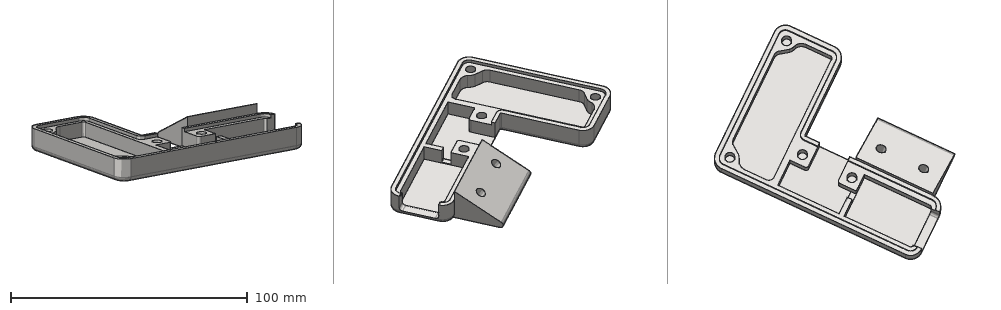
import cadquery as cq
import math

width = 68.0
length = 96.3
tray_height = 10.0
arm_left = 40.1
foot_depth = 30.7
corner_radius = 5.1
inner_corner_radius = 0.5
bottom_radius = 2.0

rim = 2.0
arm_left_rim = 1.7
recess_depth = 1.4
recess_inner_radius = 2.5
wall = 4.0
pocket_right = width - wall

floor = 2.0
upper_floor = 1.7
foot_pocket_top = 26.7
foot_pocket_left_radius = 1.0
foot_pocket_right_radius = 2.5
middle_bottom = 29.6
middle_top = 58.1
gap_floor = 2.2
divider_bottom = 58.3
upper_left = 44.1
upper_bottom = 60.6
upper_top = length - wall
upper_corner_radius = 1.0
post_edge = 52.0
post_corner_radius = 1.2
window_bottom = 37.75
window_top = 51.8
gap_right = 56.0

notch_left = 45.3
notch_right = 62.8
notch_floor = 2.2
notch_radius = 1.4

screw_diameter = 4.2
screw_inset = 6.2
arm_screw_x = 47.6
arm_screw_ys = (33.3, 56.4)

wedge_left = 18.3
wedge_top = 14.35
wedge_nose = 2.6
wedge_bottom_y = 54.7
wedge_top_y = 90.7
wedge_nose_radius = 1.6
wedge_bottom_radius = 1.5
wedge_hole_x = 31.2
wedge_hole_ys = (62.3, 82.2)


def box(x0, x1, y0, y1, z0, z1):
    """Box given by its limits along each axis."""
    return cq.Workplane("XY").box(x1 - x0, y1 - y0, z1 - z0, centered=False).translate((x0, y0, z0))


def l_prism(edge, arm_edge, z0, height, outer_radius, inner_radius):
    """L-shaped prism set in from the tray outline, with rounded upright edges."""
    right = width - edge
    top = length - edge
    inner_x = arm_left + arm_edge
    inner_y = foot_depth - edge
    outline = [(edge, edge), (right, edge), (right, top), (inner_x, top), (inner_x, inner_y), (edge, inner_y)]
    prism = cq.Workplane("XY").workplane(offset=z0).polyline(outline).close().extrude(height)
    inner_edge = cq.selectors.NearestToPointSelector((inner_x, inner_y, z0 + height / 2))
    prism = prism.edges(inner_edge).fillet(inner_radius)
    margin = 0.1
    for x, y in outline[:4] + outline[5:]:
        corner = cq.selectors.BoxSelector((x - margin, y - margin, z0), (x + margin, y + margin, z0 + height))
        prism = prism.edges(corner).fillet(outer_radius)
    return prism


def foot_pocket():
    """Wide pocket whose lower corners curve around the screw posts."""
    side_start = 14.2
    bend_start = (6.3, 10.4)
    bend_middle = (7.8, 9.7)
    bend_end = (9.0, 8.8)
    foot_arc_start = (11.3, 5.6)
    bottom_start = 14.2
    side_arc_middle = (4.6, 12.0)
    foot_arc_middle = (12.4, 4.4)

    def mirrored(point):
        return (width - point[0], point[1])

    pocket = (
        cq.Workplane("XY").workplane(offset=floor)
        .moveTo(wall, foot_pocket_top)
        .lineTo(wall, side_start)
        .threePointArc(side_arc_middle, bend_start)
        .threePointArc(bend_middle, bend_end)
        .lineTo(*foot_arc_start)
        .threePointArc(foot_arc_middle, (bottom_start, wall))
        .lineTo(width - bottom_start, wall)
        .threePointArc(mirrored(foot_arc_middle), mirrored(foot_arc_start))
        .lineTo(*mirrored(bend_end))
        .threePointArc(mirrored(bend_middle), mirrored(bend_start))
        .threePointArc(mirrored(side_arc_middle), (pocket_right, side_start))
        .lineTo(pocket_right, foot_pocket_top)
        .close()
        .extrude(tray_height)
    )
    for x, radius in ((wall, foot_pocket_left_radius), (pocket_right, foot_pocket_right_radius)):
        corner = cq.selectors.NearestToPointSelector((x, foot_pocket_top, floor + tray_height / 2))
        pocket = pocket.edges(corner).fillet(radius)
    return pocket


def arm_pockets():
    """Middle pocket with its side window, upper pocket, and the gap and low ledge between them."""
    middle = box(post_edge, pocket_right, middle_bottom, middle_top, floor, tray_height)
    window = box(arm_left, post_edge, window_bottom, window_top, floor, tray_height)
    middle = middle.union(window)
    for y in (window_bottom, window_top):
        corner = cq.selectors.NearestToPointSelector((post_edge, y, (floor + tray_height) / 2))
        middle = middle.edges(corner).fillet(post_corner_radius)
    upper = box(upper_left, pocket_right, upper_bottom, upper_top, upper_floor, tray_height)
    upper = upper.edges("|Z and >Y").fillet(upper_corner_radius)
    gap = box(post_edge, gap_right, middle_top, upper_bottom, gap_floor, tray_height)
    ledge = box(post_edge, pocket_right, middle_top, divider_bottom, gap_floor, tray_height)
    return middle.union(upper).union(gap).union(ledge)


def cable_notch():
    """Opening in the +Y wall with rounded floor corners."""
    notch = box(notch_left, notch_right, upper_top - upper_corner_radius, length, notch_floor, tray_height)
    return notch.edges("|Y and <Z").fillet(notch_radius)


def screw_holes():
    """Blind holes opening on the recess floor."""
    places = [(screw_inset, screw_inset), (width - screw_inset, screw_inset)]
    places += [(arm_screw_x, y) for y in arm_screw_ys]
    return (
        cq.Workplane("XY").workplane(offset=floor)
        .pushPoints(places).circle(screw_diameter / 2).extrude(tray_height)
    )


def wedge():
    """Ramp rising toward the arm, with a rounded nose and holes square to its slope."""
    root = arm_left + bottom_radius
    slope = math.atan2(wedge_top - wedge_nose, arm_left - wedge_left)
    profile = [
        (wedge_left, 0),
        (root, 0),
        (root, floor),
        (arm_left, floor),
        (arm_left, wedge_top),
        (wedge_left, wedge_nose),
    ]
    ramp = (
        cq.Workplane("XZ", origin=(0, wedge_top_y, 0))
        .polyline(profile).close().extrude(wedge_top_y - wedge_bottom_y)
    )
    ramp = ramp.edges("|Y and <X").edges(">Z").fillet(wedge_nose_radius)
    ramp = ramp.edges("|Y and <Z").edges("<X").fillet(wedge_bottom_radius)
    hole_z = wedge_nose + (wedge_hole_x - wedge_left) * math.tan(slope)
    into_slope = cq.Vector(math.sin(slope), 0, -math.cos(slope))
    for y in wedge_hole_ys:
        start = cq.Vector(wedge_hole_x, y, hole_z) - into_slope * screw_diameter
        hole = cq.Solid.makeCylinder(screw_diameter / 2, 2 * wedge_top, start, into_slope)
        ramp = ramp.cut(cq.Workplane(hole))
    return ramp


tray = l_prism(0, 0, 0, tray_height, corner_radius, inner_corner_radius)
tray = tray.faces("<Z").edges().fillet(bottom_radius)
recess = l_prism(
    rim, arm_left_rim, tray_height - recess_depth, recess_depth, corner_radius - rim, recess_inner_radius
)
tray = tray.cut(recess).cut(foot_pocket()).cut(arm_pockets()).cut(cable_notch()).cut(screw_holes())

result = tray.union(wedge())